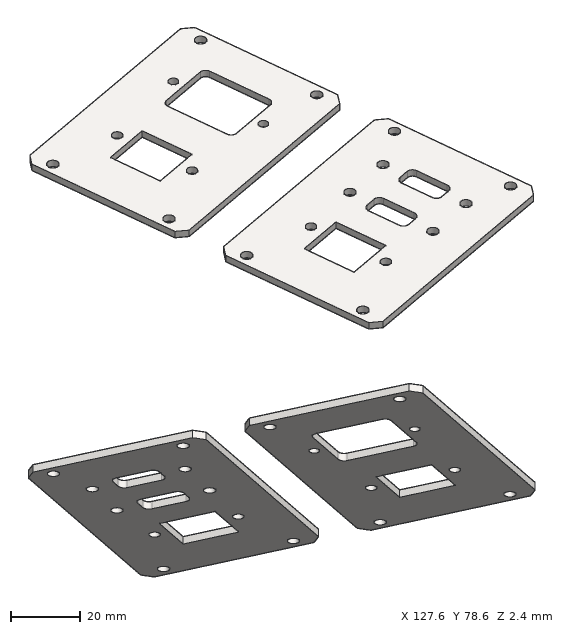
import cadquery as cq

total_width = 127.6
plate_width = 57.5
plate_height = 78.6
plate_thickness = 2.4
corner_chamfer = 2.9
plate_offset = (total_width - plate_width) / 2

mount_hole_diameter = 3.6
mount_spacing_x = 42.0
mount_spacing_y = 71.3

lower_window_width = 18.0
lower_window_height = 15.3
lower_window_x = -0.5
lower_window_y = -15.6
lower_screw_diameter = 3.3
lower_screw_spacing = 27.0
lower_screw_y = -13.9

large_window_width = 25.3
large_window_height = 20.2
large_window_radius = 1.9
large_window_x = 0.4
large_window_y = 15.7
large_screw_diameter = 3.0
large_screw_spacing = 32.5

slot_width = 14.9
slot_height = 7.1
slot_radius = 1.9
slot_x = 0.5
upper_slot_y = 21.5
slot_pitch = 16.0
slot_screw_diameter = 3.6
slot_screw_spacing = 30.0


def window_cutter(width, height, x, y, corner_radius=0):
    """Through cutter for a rectangular window, with optional round corners."""
    cutter = cq.Workplane("XY").center(x, y).rect(width, height).extrude(plate_thickness)
    if corner_radius > 0:
        cutter = cutter.edges("|Z").fillet(corner_radius)
    return cutter


def screw_pair_cutter(diameter, spacing, x, y):
    """Through cutter for two screw holes placed symmetrically about x."""
    return (
        cq.Workplane("XY")
        .pushPoints([(x - spacing / 2, y), (x + spacing / 2, y)])
        .circle(diameter / 2)
        .extrude(plate_thickness)
    )


def make_blank():
    """Chamfered plate with the features common to both panels."""
    blank = (
        cq.Workplane("XY")
        .rect(plate_width, plate_height)
        .extrude(plate_thickness)
        .edges("|Z")
        .chamfer(corner_chamfer)
    )
    for mount_y in (-mount_spacing_y / 2, mount_spacing_y / 2):
        blank = blank.cut(screw_pair_cutter(mount_hole_diameter, mount_spacing_x, 0, mount_y))
    blank = blank.cut(
        window_cutter(lower_window_width, lower_window_height, lower_window_x, lower_window_y)
    )
    return blank.cut(
        screw_pair_cutter(lower_screw_diameter, lower_screw_spacing, lower_window_x, lower_screw_y)
    )


def make_large_window_panel():
    """Left panel, with one large rounded window."""
    window = window_cutter(
        large_window_width, large_window_height, large_window_x, large_window_y, large_window_radius
    )
    screws = screw_pair_cutter(
        large_screw_diameter, large_screw_spacing, large_window_x, large_window_y
    )
    return make_blank().cut(window).cut(screws).translate((-plate_offset, 0, 0))


def make_slot_panel():
    """Right panel, with two stacked connector slots."""
    panel = make_blank()
    for slot_y in (upper_slot_y, upper_slot_y - slot_pitch):
        panel = panel.cut(window_cutter(slot_width, slot_height, slot_x, slot_y, slot_radius))
        panel = panel.cut(
            screw_pair_cutter(slot_screw_diameter, slot_screw_spacing, slot_x, slot_y)
        )
    return panel.translate((plate_offset, 0, 0))


large_window_panel = make_large_window_panel()
slot_panel = make_slot_panel()

result = cq.Compound.makeCompound([large_window_panel.solids().val(), slot_panel.solids().val()])